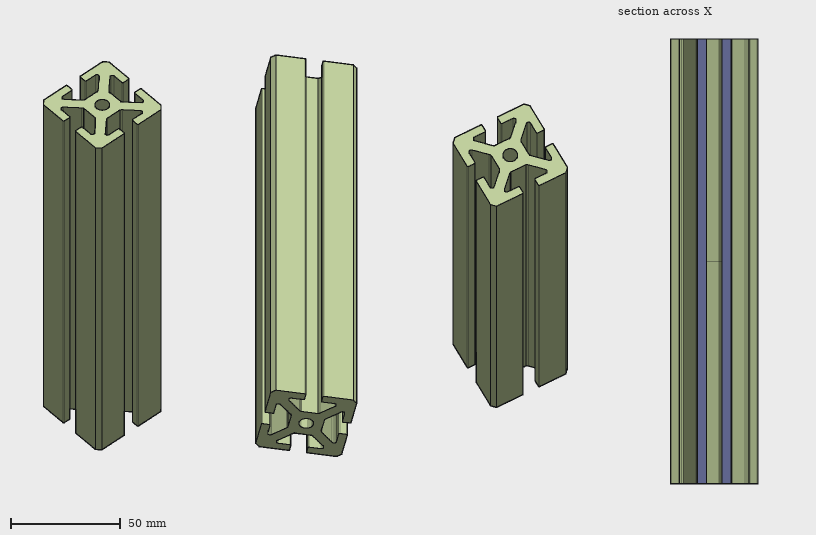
import cadquery as cq

length = 203.2
width = 40.0
corner_chamfer = 2.0
bore_diameter = 6.7

slot_opening = 8.0
lip_thickness = 4.0
pocket_width = 22.0
core_width = 15.5
web_thickness = 4.9
pocket_corner_radius = 1.0
floor_corner_radius = 2.0
lip_edge_radius = 0.5

half_width = width / 2
overcut = 2.0
position_tolerance = 0.02


def make_body():
    """Square bar with chamfered long edges, centred on the origin."""
    return cq.Workplane("XY").box(width, width, length).edges("|Z").chamfer(corner_chamfer)


def make_slot():
    """Cutter for the T-slot in the +Y side: narrow opening and tapered pocket."""
    pocket_top = half_width - lip_thickness
    pocket_floor = core_width / 2
    pocket_half = pocket_width / 2
    flank_offset = web_thickness / 2**0.5
    pocket = (
        cq.Workplane("XY", origin=(0, 0, -length / 2))
        .moveTo(-pocket_half, pocket_top)
        .lineTo(-pocket_half, pocket_half + flank_offset)
        .lineTo(-(pocket_floor - flank_offset), pocket_floor)
        .lineTo(pocket_floor - flank_offset, pocket_floor)
        .lineTo(pocket_half, pocket_half + flank_offset)
        .lineTo(pocket_half, pocket_top)
        .close()
        .extrude(length)
        .edges("|Z and (<X or >X)")
        .fillet(pocket_corner_radius)
        .edges("|Z and <Y")
        .fillet(floor_corner_radius)
    )
    opening_depth = half_width + overcut - pocket_floor
    opening = (
        cq.Workplane("XY")
        .box(slot_opening, opening_depth, length, centered=(True, False, True))
        .translate((0, pocket_floor, 0))
    )
    return pocket.union(opening)


def is_lip_edge(edge):
    """True for the long edges at the free end of a lip."""
    middle = edge.Center()
    across, outward = sorted((abs(middle.x), abs(middle.y)))
    at_slot_mouth = abs(across - slot_opening / 2) < position_tolerance
    on_lip = outward > half_width - lip_thickness - position_tolerance
    return at_slot_mouth and on_lip


result = make_body()
slot = make_slot()
for side in range(4):
    result = result.cut(slot.rotate((0, 0, 0), (0, 0, 1), 90 * side))

result = result.edges("|Z").filter(is_lip_edge).fillet(lip_edge_radius)

bore = cq.Workplane("XY").circle(bore_diameter / 2).extrude(length, both=True)
result = result.cut(bore)